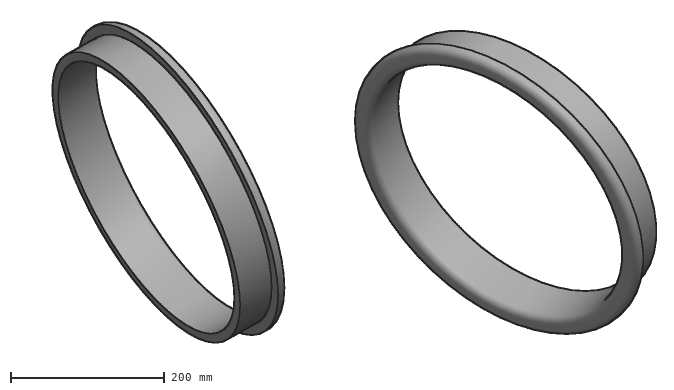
import cadquery as cq

flange_diameter = 456.0
tube_diameter = 427.0
bore_diameter = 400.0
flange_thickness = 15.0
tube_length = 50.0
rear_edge_radius = 10.0

total_length = tube_length + flange_thickness


def cylinder(diameter, start, length):
    """Solid cylinder along +Y, beginning at Y = start."""
    plane = cq.Workplane("XZ", origin=(0, start, 0))
    return plane.circle(diameter / 2).extrude(-length)


flange = cylinder(flange_diameter, tube_length, flange_thickness)
tube = cylinder(tube_diameter, 0, tube_length)
bore = cylinder(bore_diameter, 0, total_length)
ring = flange.union(tube).cut(bore)

result = ring.faces(">Y").edges().fillet(rear_edge_radius)